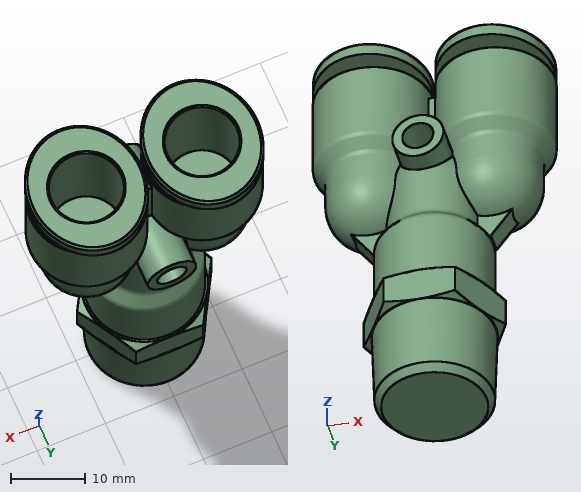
import cadquery as cq
import math

TOTAL_HEIGHT = 58.0
BODY_RADIUS = 8.2
WAIST_RADIUS = 6.5
BRANCH_OFFSET = 8.45
SHOULDER_HEIGHT = 2.0
SHOULDER_ROUND = 1.0
SELECTION_MARGIN = 0.05

BODY_TOP = 54.75
BRANCH_SHOULDER_TOP = 43.05
BRANCH_DOME_CENTER = 36.95
BODY_RIM_CHAMFER = 0.25

COLLAR_LENGTH_X = 16.1
COLLAR_LENGTH_Y = 18.55
COLLAR_THICKNESS = 2.05
COLLAR_CHAMFER = 0.35
NECK_RADIUS = 5.9
BORE_RADIUS = 5.05
BORE_CHAMFER = 0.25

THREAD_HEIGHT = 12.0
THREAD_TOP_RADIUS = 8.45
THREAD_BOTTOM_RADIUS = 8.1
THREAD_CHAMFER_HEIGHT = 1.1
THREAD_TIP_RADIUS = 7.2
HEX_ACROSS_FLATS = 17.05
HEX_HEIGHT = 5.1
HEX_CORNER_CHAMFER = 0.5

STEM_SHOULDER_BOTTOM = 26.95

LUG_HEIGHT = 40.0
LUG_RADIUS = 3.55
LUG_HOLE_RADIUS = 2.15
LUG_LENGTH = 18.7
STEM_DOME_CENTER = LUG_HEIGHT - LUG_RADIUS

RIB_THICKNESS = 3.15
WEB_TOP = 52.95
GUSSET_FOOT = 27.15
GUSSET_RISE = 6.5
GUSSET_REACH = 4.75


def cylinder(radius, bottom, top):
    return cq.Workplane("XY").workplane(offset=bottom).circle(radius).extrude(top - bottom)


def cone(bottom_radius, top_radius, bottom, top):
    outline = [(0, bottom), (bottom_radius, bottom), (top_radius, top), (0, top)]
    return cq.Workplane("XZ").polyline(outline).close().revolve(360, (0, 0), (0, 1))


def domed_post(dome_center, dome_side, shoulder_start, body_end):
    """Large cylinder, rounded cone shoulder and slim cylinder closed by a hemisphere.

    dome_side is 1 when the dome is on top and -1 when it hangs below.
    """
    shoulder_end = shoulder_start + dome_side * SHOULDER_HEIGHT
    dome_arc_middle = (
        WAIST_RADIUS * math.cos(math.pi / 4),
        dome_center + dome_side * WAIST_RADIUS * math.sin(math.pi / 4),
    )
    post = (
        cq.Workplane("XZ")
        .moveTo(0, body_end)
        .lineTo(BODY_RADIUS, body_end)
        .lineTo(BODY_RADIUS, shoulder_start)
        .lineTo(WAIST_RADIUS, shoulder_end)
        .lineTo(WAIST_RADIUS, dome_center)
        .threePointArc(dome_arc_middle, (0, dome_center + dome_side * WAIST_RADIUS))
        .close()
        .revolve(360, (0, 0), (0, 1))
    )
    shoulder_edges = cq.selectors.BoxSelector(
        (-2 * BODY_RADIUS, -2 * BODY_RADIUS, min(shoulder_start, shoulder_end) - SELECTION_MARGIN),
        (2 * BODY_RADIUS, 2 * BODY_RADIUS, max(shoulder_start, shoulder_end) + SELECTION_MARGIN),
    )
    return post.edges(shoulder_edges).edges("%CIRCLE").fillet(SHOULDER_ROUND)


def make_stem():
    return domed_post(STEM_DOME_CENTER, 1, STEM_SHOULDER_BOTTOM, THREAD_HEIGHT)


def make_branch():
    """One branch on the Z axis with its neck and oval release collar, not yet bored."""
    body = domed_post(BRANCH_DOME_CENTER, -1, BRANCH_SHOULDER_TOP, BODY_TOP)
    body = body.faces(">Z").edges().chamfer(BODY_RIM_CHAMFER)
    collar_bottom = TOTAL_HEIGHT - COLLAR_THICKNESS
    collar = (
        cq.Workplane("XY")
        .workplane(offset=collar_bottom)
        .ellipse(COLLAR_LENGTH_X / 2, COLLAR_LENGTH_Y / 2)
        .extrude(COLLAR_THICKNESS)
        .faces(">Z")
        .edges()
        .chamfer(COLLAR_CHAMFER)
    )
    neck = cylinder(NECK_RADIUS, BRANCH_SHOULDER_TOP, TOTAL_HEIGHT - COLLAR_CHAMFER)
    return body.union(neck).union(collar)


def make_bore():
    """Tube socket, reaching down to the branch shoulder, with a chamfered mouth."""
    hole = cylinder(BORE_RADIUS, BRANCH_SHOULDER_TOP, TOTAL_HEIGHT)
    mouth = cone(BORE_RADIUS, BORE_RADIUS + BORE_CHAMFER, TOTAL_HEIGHT - BORE_CHAMFER, TOTAL_HEIGHT)
    return hole.union(mouth)


def make_hexagon():
    """Hexagon with corners on the X axis, its corners chamfered at both ends."""
    flat_radius = HEX_ACROSS_FLATS / 2
    corner_radius = flat_radius / math.cos(math.pi / 6)
    top = THREAD_HEIGHT + HEX_HEIGHT
    prism = (
        cq.Workplane("XY")
        .workplane(offset=THREAD_HEIGHT)
        .polygon(6, 2 * corner_radius)
        .extrude(HEX_HEIGHT)
    )
    turned_outline = [
        (0, THREAD_HEIGHT),
        (flat_radius, THREAD_HEIGHT),
        (corner_radius, THREAD_HEIGHT + HEX_CORNER_CHAMFER),
        (corner_radius, top - HEX_CORNER_CHAMFER),
        (flat_radius, top),
        (0, top),
    ]
    turned = cq.Workplane("XZ").polyline(turned_outline).close().revolve(360, (0, 0), (0, 1))
    return prism.intersect(turned)


def make_thread():
    taper = cone(THREAD_BOTTOM_RADIUS, THREAD_TOP_RADIUS, THREAD_CHAMFER_HEIGHT, THREAD_HEIGHT)
    tip = cone(THREAD_TIP_RADIUS, THREAD_BOTTOM_RADIUS, 0, THREAD_CHAMFER_HEIGHT)
    return taper.union(tip)


def cross_cylinder(radius):
    """Cylinder along Y through the lug, centred on the stem axis."""
    return cq.Workplane("XZ").center(0, LUG_HEIGHT).circle(radius).extrude(LUG_LENGTH / 2, both=True)


def make_rib(outline):
    return cq.Workplane("XZ").polyline(outline).close().extrude(RIB_THICKNESS / 2, both=True)


def make_web():
    """Upright web that closes the gap between the two branches."""
    return make_rib([
        (-BRANCH_OFFSET + WAIST_RADIUS, LUG_HEIGHT),
        (BRANCH_OFFSET - WAIST_RADIUS, LUG_HEIGHT),
        (BRANCH_OFFSET - WAIST_RADIUS, WEB_TOP),
        (-BRANCH_OFFSET + WAIST_RADIUS, WEB_TOP),
    ])


def make_gussets():
    """Sloping ribs from the stem shoulder up into both branch domes."""
    tip_x = BODY_RADIUS + GUSSET_REACH
    tip_height = GUSSET_FOOT + GUSSET_RISE
    return make_rib([
        (-BODY_RADIUS, GUSSET_FOOT),
        (BODY_RADIUS, GUSSET_FOOT),
        (tip_x, tip_height),
        (-tip_x, tip_height),
    ])


result = make_stem().union(make_hexagon()).union(make_thread())
result = result.union(make_gussets())
for side in (-1, 1):
    result = result.union(make_branch().translate((side * BRANCH_OFFSET, 0, 0)))
result = result.union(make_web()).union(cross_cylinder(LUG_RADIUS))

for side in (-1, 1):
    result = result.cut(make_bore().translate((side * BRANCH_OFFSET, 0, 0)))
result = result.cut(cross_cylinder(LUG_HOLE_RADIUS))